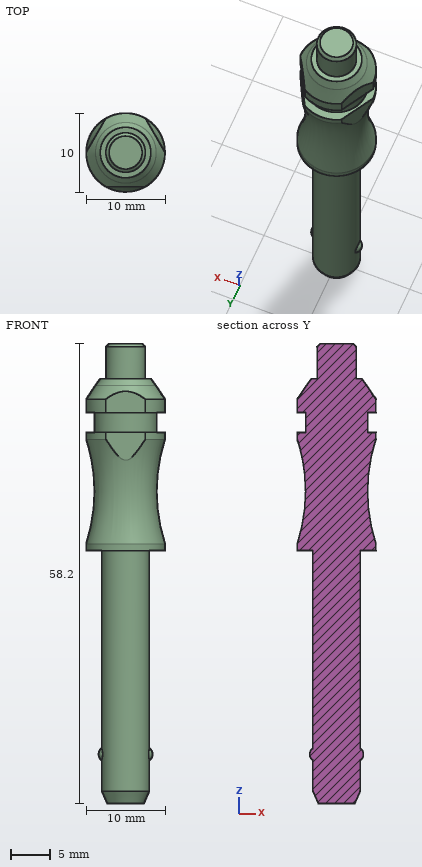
import cadquery as cq
import math

total_height = 58.2
grip_radius = 5.0

shank_radius = 3.0
shank_length = 32.0
tip_radius = 2.3
tip_height = 1.6

grip_height = 14.95
rim_height = 0.9
waist_radius = 3.95
neck_height = 2.5

head_band_height = 1.7
head_taper_height = 1.75
shoulder_radius = 3.85
shoulder_height = 0.9
head_top_radius = 3.2

button_radius = 2.5
button_chamfer = 0.4

ball_radius = 0.95
ball_height = 6.2
ball_reach = 3.45

flat_count = 3
flat_distance = grip_radius * math.cos(math.radians(30))

grip_top = shank_length + grip_height
grip_middle = shank_length + grip_height / 2
head_bottom = grip_top + neck_height
taper_bottom = head_bottom + head_band_height
shoulder_bottom = taper_bottom + head_taper_height
head_top = shoulder_bottom + shoulder_height


def waist_point(rise):
    """Point on the waist arc, at a height above or below the middle of the grip."""
    half_height = grip_height / 2 - rim_height
    depth = grip_radius - waist_radius
    arc_radius = (half_height**2 + depth**2) / (2 * depth)
    radius = waist_radius + arc_radius - math.sqrt(arc_radius**2 - rise**2)
    return radius, grip_middle + rise


def make_body():
    """Turned body; the waist is one circular arc, split at its narrowest point."""
    quarter = (grip_height / 2 - rim_height) / 2
    profile = (
        cq.Workplane("XZ")
        .lineTo(tip_radius, 0)
        .lineTo(shank_radius, tip_height)
        .lineTo(shank_radius, shank_length)
        .lineTo(grip_radius, shank_length)
        .lineTo(grip_radius, shank_length + rim_height)
        .threePointArc(waist_point(-quarter), (waist_radius, grip_middle))
        .threePointArc(waist_point(quarter), (grip_radius, grip_top - rim_height))
        .lineTo(grip_radius, grip_top)
        .lineTo(waist_radius, grip_top)
        .lineTo(waist_radius, head_bottom)
        .lineTo(grip_radius, head_bottom)
        .lineTo(grip_radius, taper_bottom)
        .lineTo(shoulder_radius, shoulder_bottom)
        .lineTo(head_top_radius, head_top)
        .lineTo(button_radius, head_top)
        .lineTo(button_radius, total_height - button_chamfer)
        .lineTo(button_radius - button_chamfer, total_height)
        .lineTo(0, total_height)
        .close()
    )
    return profile.revolve(360, (0, 0, 0), (0, 1, 0))


def cut_flats(body):
    """Cut flats across the head and the upper half of the grip, the first facing -Y."""
    cutter = cq.Workplane("XY").box(
        2 * grip_radius,
        grip_radius,
        head_top - grip_middle,
        centered=(True, False, False),
    ).translate((0, -flat_distance - grip_radius, grip_middle))
    for index in range(flat_count):
        angle = index * 360 / flat_count
        body = body.cut(cutter.rotate((0, 0, 0), (0, 0, 1), angle))
    return body


def add_balls(body):
    """Add a locking ball on each X side of the shank."""
    for side in (-1, 1):
        center = (side * (ball_reach - ball_radius), 0, ball_height)
        body = body.union(cq.Workplane("XY").sphere(ball_radius).translate(center))
    return body


result = add_balls(cut_flats(make_body()))